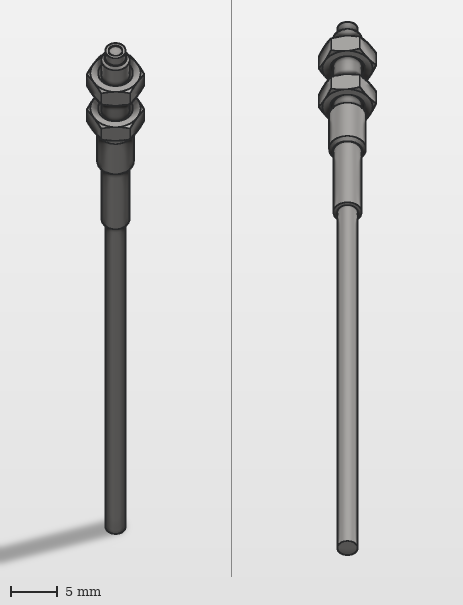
import cadquery as cq
import math

total_length = 78.0

cable_diameter = 2.2
thread_diameter = 3.05
collar_diameter = 4.0

tip_length = 1.2
thread_chamfer = 0.3
collar_top_depth = 13.0
collar_bottom_depth = 18.4
collar_chamfer = 0.4
sleeve_end_depth = 27.5

nut_across_flats = 5.4
nut_height = 2.3
nut_top_depths = (3.7, 9.4)
nut_corner_chamfer_angle = 30.0
nut_face_diameter = 5.4
nut_countersink_diameter = 3.75

recess_diameter = 1.5
recess_depth = 0.15


def stepped_body():
    """Tip, thread, collar, sleeve and cable as one revolved profile."""
    cable_radius = cable_diameter / 2
    thread_radius = thread_diameter / 2
    collar_radius = collar_diameter / 2
    profile = [
        (0, 0),
        (cable_radius, 0),
        (cable_radius, -tip_length),
        (thread_radius - thread_chamfer, -tip_length),
        (thread_radius, -tip_length - thread_chamfer),
        (thread_radius, -collar_top_depth),
        (collar_radius, -collar_top_depth),
        (collar_radius, -collar_bottom_depth + collar_chamfer),
        (collar_radius - collar_chamfer, -collar_bottom_depth),
        (thread_radius, -collar_bottom_depth),
        (thread_radius, -sleeve_end_depth),
        (cable_radius, -sleeve_end_depth),
        (cable_radius, -total_length),
        (0, -total_length),
    ]
    return cq.Workplane("XZ").polyline(profile).close().revolve(360, (0, 0, 0), (0, 1, 0))


def hex_nut(top_depth):
    """Nut with flats facing X, corners chamfered and bore countersunk at both ends."""
    corner_diameter = nut_across_flats / math.cos(math.radians(30))
    blank = (
        cq.Workplane("XY")
        .polygon(6, corner_diameter)
        .extrude(nut_height)
        .rotate((0, 0, 0), (0, 0, 1), 30)
    )

    corner_radius = corner_diameter / 2
    face_radius = nut_face_diameter / 2
    chamfer_drop = (corner_radius - face_radius) * math.tan(math.radians(nut_corner_chamfer_angle))
    envelope = (
        cq.Workplane("XZ")
        .polyline([
            (0, 0),
            (face_radius, 0),
            (corner_radius, chamfer_drop),
            (corner_radius, nut_height - chamfer_drop),
            (face_radius, nut_height),
            (0, nut_height),
        ])
        .close()
        .revolve(360, (0, 0, 0), (0, 1, 0))
    )

    thread_radius = thread_diameter / 2
    countersink_radius = nut_countersink_diameter / 2
    countersink_depth = countersink_radius - thread_radius
    bore = (
        cq.Workplane("XZ")
        .polyline([
            (0, 0),
            (countersink_radius, 0),
            (thread_radius, countersink_depth),
            (thread_radius, nut_height - countersink_depth),
            (countersink_radius, nut_height),
            (0, nut_height),
        ])
        .close()
        .revolve(360, (0, 0, 0), (0, 1, 0))
    )
    return blank.intersect(envelope).cut(bore).translate((0, 0, -top_depth - nut_height))


result = stepped_body()
for nut_top_depth in nut_top_depths:
    result = result.union(hex_nut(nut_top_depth))

recess = cq.Workplane("XY").circle(recess_diameter / 2).extrude(-recess_depth)
result = result.cut(recess)